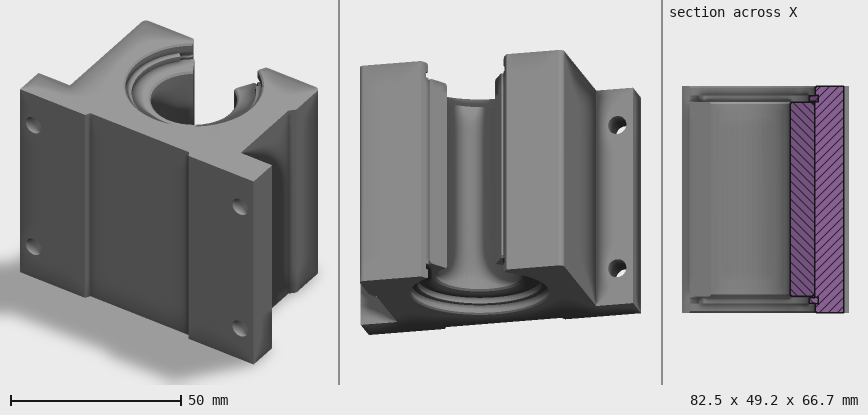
import cadquery as cq
import math

width = 82.55
height = 49.2
length = 66.7

flange_thickness = 9.7
body_left = 30.1
body_right = 30.2
lip_overhang = 1.65
lip_bottom = 36.65
corner_radius = 1.6
relief_width = 36.5
relief_floor_width = 35.0
relief_depth = 1.6

hole_diameter = 5.5
hole_spacing_x = 73.0
hole_spacing_z = 44.3

axis_height = 30.1
bore_radius = 20.0
mouth_radius = 20.15
mouth_chamfer = 0.5
slot_half_angle = 30.0
housing_slot_offset = 1.9
bearing_slot_offset = 1.2

bearing_length = 57.1
shaft_radius = 12.7
shaft_chamfer = 0.6
bearing_edge_chamfer = 0.7

ring_inner_radius = 18.3
ring_outer_radius = 21.0
ring_thickness = 1.7
ring_clearance = 0.25
ring_gap_half_angle = 46.0

ring_near_face = bearing_length / 2 + ring_clearance
ring_far_face = ring_near_face + ring_thickness


def cylinder(radius, z_start, z_end):
    """Solid cylinder on the bore axis."""
    base = cq.Workplane("XY", origin=(0, axis_height, min(z_start, z_end)))
    return base.circle(radius).extrude(abs(z_end - z_start))


def end_chamfer(radius, size, z_end, side):
    """Cone that widens a hole of the given radius at its end face."""
    tip_direction = cq.Vector(0, 0, -side)
    center = cq.Vector(0, axis_height, side * z_end)
    return cq.Workplane(cq.Solid.makeCone(radius + size, radius, size, center, tip_direction))


def opening_wedge(half_width_at_axis, half_angle):
    """Full-length prism that opens towards +Y, flaring by the half angle on each side."""
    reach = height
    slope = math.tan(math.radians(half_angle))
    half_mouth = half_width_at_axis + reach * slope
    apex = -half_width_at_axis / slope
    section = cq.Workplane("XY", origin=(0, axis_height, -length / 2))
    return section.polyline([(0, apex), (half_mouth, reach), (-half_mouth, reach)]).close().extrude(length)


def make_block():
    """Flanged housing section, extruded along the bore."""
    lip_face = body_right + lip_overhang
    outline = [
        (-width / 2, 0),
        (-relief_width / 2, 0),
        (-relief_floor_width / 2, relief_depth),
        (relief_floor_width / 2, relief_depth),
        (relief_width / 2, 0),
        (width / 2, 0),
        (width / 2, flange_thickness),
        (body_right, flange_thickness),
        (body_right, lip_bottom - lip_overhang),
        (lip_face, lip_bottom),
        (lip_face, height),
        (-body_left, height),
        (-body_left, flange_thickness),
        (-width / 2, flange_thickness),
    ]
    block = cq.Workplane("XY", origin=(0, 0, -length / 2)).polyline(outline).close().extrude(length)
    return block.edges("|Z and >Y").fillet(corner_radius)


def make_mounting_holes():
    """Four through holes in the flanges."""
    centers = cq.Workplane("XZ").rect(hole_spacing_x, hole_spacing_z, forConstruction=True).vertices()
    return centers.circle(hole_diameter / 2).extrude(-flange_thickness)


def make_housing():
    """Housing with stepped bore, ring grooves, shaft opening and mounting holes."""
    housing = make_block().cut(cylinder(bore_radius, -length / 2, length / 2))
    for side in (1, -1):
        housing = housing.cut(cylinder(mouth_radius, side * ring_far_face, side * length / 2))
        housing = housing.cut(end_chamfer(mouth_radius, mouth_chamfer, length / 2, side))
        housing = housing.cut(ring_space(ring_outer_radius, side))
    housing = housing.cut(opening_wedge(housing_slot_offset, slot_half_angle))
    return housing.cut(make_mounting_holes())


def make_bearing():
    """Open sleeve with chamfered outer and inner end edges."""
    half_length = bearing_length / 2
    sleeve = cylinder(bore_radius, -half_length, half_length)
    sleeve = sleeve.faces("<Z or >Z").edges().chamfer(bearing_edge_chamfer)
    sleeve = sleeve.cut(cylinder(shaft_radius, -half_length, half_length))
    for side in (1, -1):
        sleeve = sleeve.cut(end_chamfer(shaft_radius, shaft_chamfer, half_length, side))
    return sleeve.cut(opening_wedge(bearing_slot_offset, slot_half_angle))


def ring_space(radius, side):
    """Disc over the axial extent of the retaining ring at one end."""
    return cylinder(radius, side * ring_near_face, side * ring_far_face)


def make_retaining_ring(side):
    """Flat open ring with radial ends, filling its groove in the housing."""
    ring = ring_space(ring_outer_radius, side).cut(ring_space(ring_inner_radius, side))
    return ring.cut(opening_wedge(0, ring_gap_half_angle))


housing = make_housing()
bearing = make_bearing()
retaining_rings = [make_retaining_ring(side) for side in (1, -1)]

result = cq.Compound.makeCompound([
    housing.val(),
    bearing.val(),
    *[ring.val() for ring in retaining_rings],
])